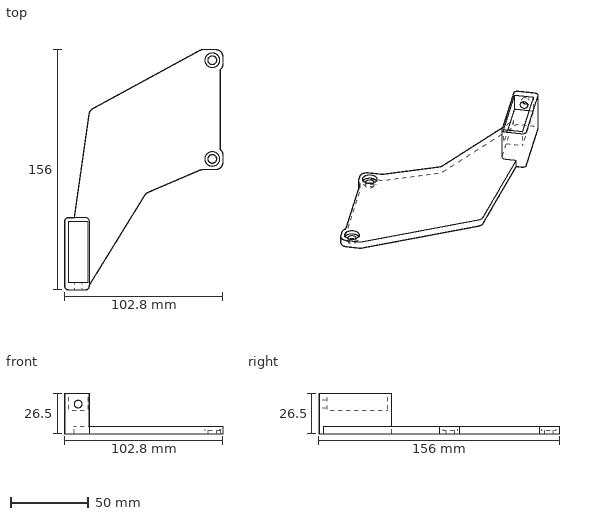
import cadquery as cq

plate_thickness = 5.0
part_width = 102.75
part_length = 156.0
corner_radius = 5.0

screw_inset = 7.0
lug_length = 14.3
lug_overhang = 1.75
screw_spacing = 64.0
screw_diameter = 5.5
screw_head_diameter = 9.5
screw_head_depth = 2.5

box_width = 16.0
box_length = 47.0
box_height = 26.5
box_corner_radius = 2.5
pocket_depth = 11.0
left_wall = 2.5
right_wall = 1.0
front_wall = 5.0
back_wall = 2.5
pin_diameter = 5.0
pin_drop = 7.0

screw_x = part_width - screw_inset
upper_screw_y = part_length - screw_inset
lower_screw_y = upper_screw_y - screw_spacing
screw_centers = [(screw_x, upper_screw_y), (screw_x, lower_screw_y)]
plate_right = part_width - lug_overhang
plate_bottom = lower_screw_y - screw_inset
pocket_width = box_width - left_wall - right_wall
pocket_length = box_length - front_wall - back_wall
pocket_center_x = left_wall + pocket_width / 2

upper_bend = (88.7, part_length)
left_bend = (16.1, 116.5)
arm_left = (6.2, box_length)
arm_tip = (box_width, 3.0)
elbow = (52.8, 62.7)
lower_bend = (88.6, plate_bottom)


def make_plate():
    """Plate that tapers into an arm ending at the box, with its right-hand corners left to the lugs."""
    outline = [
        upper_bend,
        left_bend,
        arm_left,
        (arm_left[0], arm_tip[1]),
        arm_tip,
        elbow,
        lower_bend,
        (screw_x, plate_bottom),
        (screw_x, lower_screw_y),
        (plate_right, lower_screw_y),
        (plate_right, upper_screw_y),
        (screw_x, upper_screw_y),
        (screw_x, part_length),
    ]
    plate = cq.Workplane("XY").polyline(outline).close().extrude(plate_thickness)
    for x, y in (upper_bend, left_bend, elbow, lower_bend):
        bend_edge = cq.selectors.NearestToPointSelector((x, y, plate_thickness / 2))
        plate = plate.edges("|Z").edges(bend_edge).fillet(corner_radius)
    return plate


def make_lugs():
    """Lugs with rounded right-hand corners, standing out past the plate's right edge."""
    lugs = cq.Workplane("XY")
    for start_y in (plate_bottom, part_length - lug_length):
        lug = (
            cq.Workplane("XY", origin=(screw_x, start_y, 0))
            .box(screw_inset, lug_length, plate_thickness, centered=False)
        )
        lugs = lugs.add(lug.edges("|Z and >X").fillet(corner_radius))
    return lugs.combine()


def make_box():
    """Solid block of the socket with rounded upright corners."""
    block = cq.Workplane("XY").box(box_width, box_length, box_height, centered=False)
    return block.edges("|Z").fillet(box_corner_radius)


def cut_pocket(body):
    """Rectangular pocket, open at the top of the box."""
    pocket = (
        cq.Workplane("XY", origin=(left_wall, front_wall, box_height - pocket_depth))
        .box(pocket_width, pocket_length, pocket_depth, centered=False)
    )
    return body.cut(pocket)


def cut_pin_hole(body):
    """Round hole through the front wall into the pocket."""
    pin = (
        cq.Workplane("XZ", origin=(pocket_center_x, 0, box_height - pin_drop))
        .circle(pin_diameter / 2)
        .extrude(-front_wall)
    )
    return body.cut(pin)


def cut_screw_holes(body):
    """Counterbored screw holes through the lugs."""
    for x, y in screw_centers:
        top_plane = cq.Workplane("XY", origin=(x, y, plate_thickness))
        shank = top_plane.circle(screw_diameter / 2).extrude(-plate_thickness)
        head = top_plane.circle(screw_head_diameter / 2).extrude(-screw_head_depth)
        body = body.cut(shank).cut(head)
    return body


result = make_plate().union(make_lugs()).union(make_box())
result = cut_pocket(result)
result = cut_pin_hole(result)
result = cut_screw_holes(result)